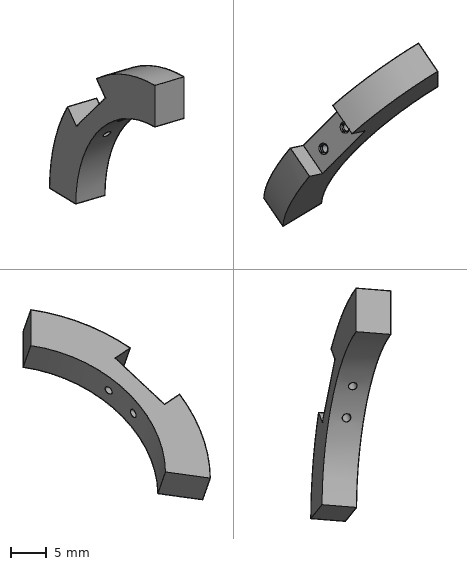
import cadquery as cq
import math

overall_size = 25.8
end_clearance = 0.2
outer_radius = overall_size + end_clearance
inner_radius = 19.55
thickness = 5.0
centre_x = end_clearance
centre_z = -end_clearance

notch_width = 10.0
notch_floor_radius = 22.45
notch_angle = math.radians(45)

hole_spacing = notch_width / 2
hole_diameter = 1.2
mouth_diameter = 1.6
mouth_depth = 0.18
groove_width = 0.35
hole_depth = notch_floor_radius - inner_radius + hole_diameter


def quarter_ring():
    """Ring around (centre_x, centre_z), kept only where x < 0 and z > 0."""
    ring = (
        cq.Workplane("XZ")
        .center(centre_x, centre_z)
        .circle(outer_radius)
        .circle(inner_radius)
        .extrude(thickness / 2, both=True)
    )
    quadrant = cq.Workplane("XY").box(
        2 * outer_radius, thickness, 2 * outer_radius
    ).translate((-outer_radius, 0, outer_radius))
    return ring.intersect(quadrant)


def notch_floor_plane():
    """Plane on the notch floor: local x runs along the notch, the normal points radially outward."""
    cos_angle = math.cos(notch_angle)
    sin_angle = math.sin(notch_angle)
    return cq.Plane(
        origin=(
            centre_x - notch_floor_radius * cos_angle,
            0,
            centre_z + notch_floor_radius * sin_angle,
        ),
        xDir=(sin_angle, 0, cos_angle),
        normal=(-cos_angle, 0, sin_angle),
    )


def hole_cutter():
    """Revolved hole along Z, sunk from z = 0 to beyond the inner curved face."""
    hole_radius = hole_diameter / 2
    mouth_radius = mouth_diameter / 2
    return (
        cq.Workplane("XZ")
        .polyline([
            (0, 0),
            (mouth_radius, 0),
            (hole_radius, -mouth_depth),
            (mouth_radius, -mouth_depth - groove_width / 2),
            (hole_radius, -mouth_depth - groove_width),
            (hole_radius, -hole_depth),
            (0, -hole_depth),
        ])
        .close()
        .revolve(360, (0, 0, 0), (0, 1, 0))
        .val()
    )


floor = cq.Workplane(notch_floor_plane())
notch = floor.rect(notch_width, thickness).extrude(outer_radius - notch_floor_radius)
hole_centres = [(side * hole_spacing / 2, 0) for side in (-1, 1)]
holes = floor.pushPoints(hole_centres).eachpoint(hole_cutter(), useLocalCoordinates=True)

result = quarter_ring().cut(notch).cut(holes)